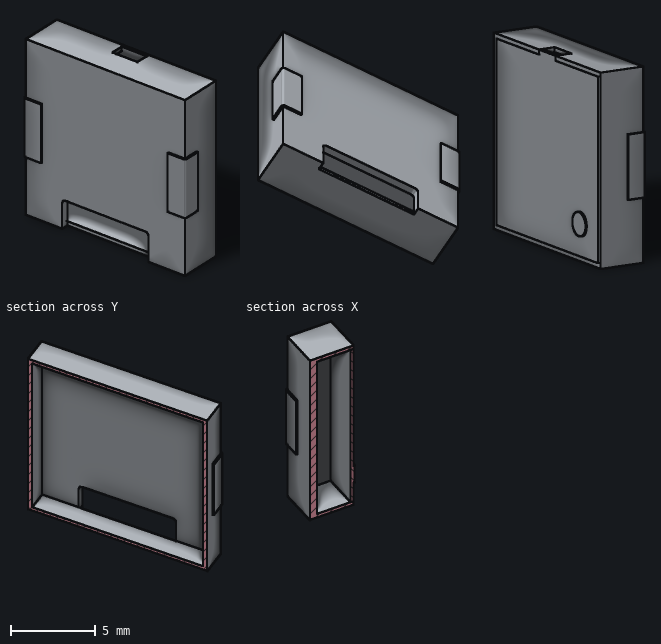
import cadquery as cq

total_width = 12.2
total_depth = 3.18
terminal_thickness = 0.1
housing_width = total_width - 2 * terminal_thickness
housing_height = housing_width
housing_depth = 3.0
front_wall = 0.5
side_wall = 0.3

window_width = 6.5
window_height = 2.0
window_corner_radius = 0.25

slot_width = 1.88
slot_depth = 1.11

terminal_height = 4.0
terminal_front_length = 1.33
terminal_side_length = 1.21
terminal_bend_radius = 0.15

cover_thickness = 0.22
mark_radius = 0.75
mark_height = total_depth - housing_depth - terminal_thickness
mark_x = -3.71
mark_z = -3.71

cavity_width = housing_width - 2 * side_wall
cavity_height = housing_height - 2 * side_wall
half_height = housing_height / 2
cover_front = housing_depth - cover_thickness


def block(width, depth, height, front=0.0, bottom=0.0):
    """Box centred on X, from the given front (Y) and bottom (Z) planes."""
    return (
        cq.Workplane("XY", origin=(0, front, bottom))
        .box(width, depth, height, centered=(True, False, False))
    )


def make_terminal(side):
    """Terminal on the left (side = -1) or right (side = 1) edge."""
    outer_x = side * total_width / 2
    wall_x = side * housing_width / 2
    front_end_x = outer_x - side * terminal_front_length
    front_y = -terminal_thickness
    back_y = front_y + terminal_side_length
    profile = [
        (wall_x, 0),
        (front_end_x, 0),
        (front_end_x, front_y),
        (outer_x, front_y),
        (outer_x, back_y),
        (wall_x, back_y),
    ]
    terminal = (
        cq.Workplane("XY", origin=(0, 0, -terminal_height / 2))
        .polyline(profile).close()
        .extrude(terminal_height)
    )
    outer_bend = cq.selectors.NearestToPointSelector((outer_x, front_y, 0))
    return terminal.edges(outer_bend).fillet(terminal_bend_radius)


def make_housing():
    """Shell open at the back, with its two terminals."""
    shell = block(housing_width, housing_depth, housing_height, bottom=-half_height)
    cavity = block(
        cavity_width, housing_depth - front_wall, cavity_height,
        front=front_wall, bottom=side_wall - half_height,
    )
    window = (
        block(window_width, front_wall, window_height, bottom=-half_height)
        .edges("|Y and >Z").fillet(window_corner_radius)
    )
    slot = block(
        slot_width, slot_depth, side_wall,
        front=housing_depth - slot_depth, bottom=half_height - side_wall,
    )
    housing = shell.cut(cavity).cut(window).cut(slot)
    for side in (-1, 1):
        housing = housing.union(make_terminal(side))
    return housing


def make_cover():
    """Plate filling the back of the shell, with a top tab and a polarity mark."""
    plate = block(
        cavity_width, cover_thickness, cavity_height,
        front=cover_front, bottom=side_wall - half_height,
    )
    tab = block(
        slot_width, cover_thickness, side_wall,
        front=cover_front, bottom=half_height - side_wall,
    )
    mark = (
        cq.Workplane("XZ", origin=(mark_x, housing_depth, mark_z))
        .circle(mark_radius)
        .extrude(-mark_height)
    )
    return plate.union(tab).union(mark)


housing = make_housing()
cover = make_cover()

result = cq.Compound.makeCompound([housing.val(), cover.val()])